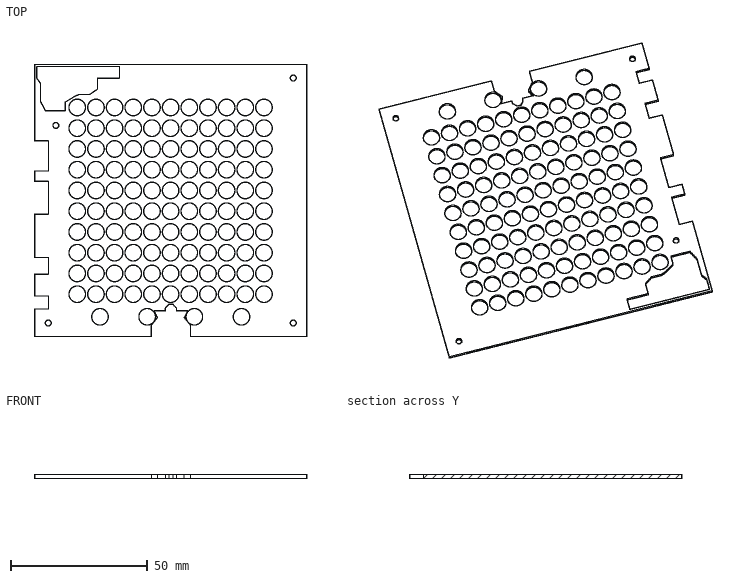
import cadquery as cq

side = 100.0
half = side / 2
thickness = 1.6

large_diameter = 6.0
grid_span = 68.6
grid_center_x = -0.05
grid_center_y = -0.1
grid_columns = 11
grid_rows = 10

front_row_span = 52.0
front_row_count = 4
front_row_y = -42.7

mount_diameter = 2.1
mount_offset = 45.0
mount_points = [
    (-mount_offset, -mount_offset),
    (mount_offset, -mount_offset),
    (mount_offset, mount_offset),
    (-42.2, 27.6),
]

edge_notch_depth = 5.0
edge_notches = [(10.9, 11.0), (-5.0, 12.0), (-27.0, 6.0), (-39.8, 4.7)]

front_notch_x = 0.05
mouth_half_width = 7.2
mouth_top_y = -45.8
throat_half_width = 4.9
throat_y = -43.0
shoulder_half_width = 6.2
shoulder_y = -40.5
crown_half_width = 2.0
crown_chamfer_y = -39.5
crown_top_half_width = 0.7
crown_top_y = -38.1

window_rim = 0.8
window_left = -half + window_rim
window_top = half - window_rim
window_outline = [
    (window_left, window_top),
    (-18.9, window_top),
    (-18.9, 45.0),
    (-27.0, 45.0),
    (-27.0, 40.9),
    (-29.8, 39.0),
    (-33.6, 39.0),
    (-35.0, 38.5),
    (-38.8, 36.2),
    (-38.8, 33.0),
    (-46.0, 33.0),
    (-47.8, 36.4),
    (-47.8, 43.0),
    (window_left, 45.0),
]


def spread(span, count):
    """Evenly spaced positions over a span centred on zero."""
    return [span * (i / (count - 1) - 0.5) for i in range(count)]


def prism(points):
    """Closed outline extruded through the plate thickness."""
    return cq.Workplane("XY").polyline(points).close().extrude(thickness)


def cylinders(points, diameter):
    """Round cutters through the plate thickness."""
    return cq.Workplane("XY").pushPoints(points).circle(diameter / 2).extrude(thickness)


def edge_notch(lower_y, length):
    """Rectangular cutter at the left edge."""
    block = cq.Workplane("XY").box(edge_notch_depth, length, thickness, centered=False)
    return block.translate((-half, lower_y, 0))


def front_notch():
    """Waisted cutter at the front edge with a narrow chamfered crown on top."""
    right_side = [
        (mouth_half_width, -half),
        (mouth_half_width, mouth_top_y),
        (throat_half_width, throat_y),
        (shoulder_half_width, shoulder_y),
        (crown_half_width, shoulder_y),
        (crown_half_width, crown_chamfer_y),
        (crown_top_half_width, crown_top_y),
    ]
    left_side = [(-x, y) for x, y in reversed(right_side)]
    return prism(right_side + left_side).translate((front_notch_x, 0, 0))


plate = cq.Workplane("XY").box(side, side, thickness, centered=(True, True, False))

grid_points = [
    (grid_center_x + x, grid_center_y + y)
    for x in spread(grid_span, grid_columns)
    for y in spread(grid_span, grid_rows)
]
front_row_points = [(x, front_row_y) for x in spread(front_row_span, front_row_count)]

plate = plate.cut(cylinders(grid_points + front_row_points, large_diameter))
plate = plate.cut(cylinders(mount_points, mount_diameter))
plate = plate.cut(prism(window_outline))
plate = plate.cut(front_notch())
for notch_y, notch_length in edge_notches:
    plate = plate.cut(edge_notch(notch_y, notch_length))

result = plate